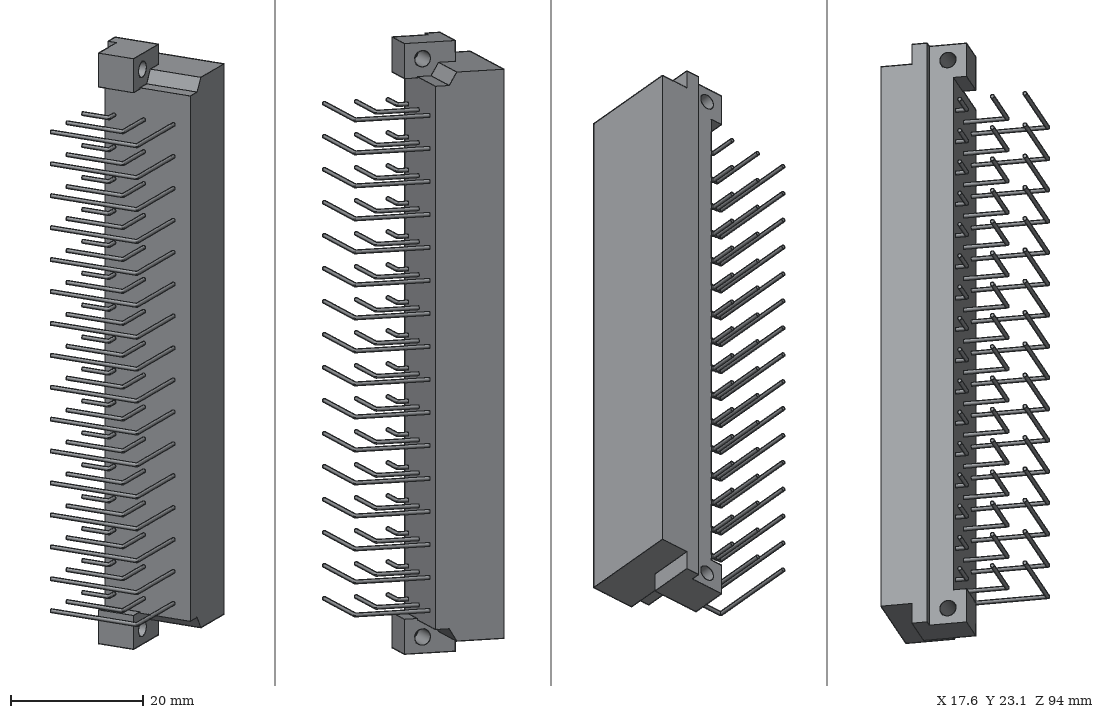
import cadquery as cq


housing_width = 16.1
housing_depth = 10.95
housing_height = 87.6
step_width = 1.45
step_depth = 7.2
bevel_start_depth = 7.55
bevel_end_depth = 8.75
bevel_drop = 2.0

overall_height = 94.0
ear_width = 7.45
ear_back_depth = 4.85
ear_front_depth = 13.0
ear_height = 5.4
hole_diameter = 2.5
hole_depth = 10.1
hole_spacing = 89.0

pin_diameter = 0.6
pin_pitch = 5.08
row_count = 16
column_count = 3
pin_overhang = 1.45
overall_depth = 23.1
row_center_z = -1.27
last_column_x = 13.2


def make_housing():
    """Beveled block with a shallower strip along its -X edge."""
    half_height = housing_height / 2
    shoulder_z = half_height - bevel_drop
    block = (
        cq.Workplane("YZ")
        .polyline([
            (0, -half_height),
            (-bevel_start_depth, -half_height),
            (-bevel_end_depth, -shoulder_z),
            (-housing_depth, -shoulder_z),
            (-housing_depth, shoulder_z),
            (-bevel_end_depth, shoulder_z),
            (-bevel_start_depth, half_height),
            (0, half_height),
        ])
        .close()
        .extrude(housing_width)
    )
    step_cut = (
        cq.Workplane("XY")
        .box(step_width, housing_depth - step_depth, housing_height, centered=(False, False, True))
        .translate((0, -housing_depth, 0))
    )
    return block.cut(step_cut)


def make_ear(end):
    """Stepped ear with a mounting hole along X; end is +1 for the top and -1 for the bottom."""
    ear = (
        cq.Workplane("XY")
        .polyline([
            (0, -ear_back_depth),
            (ear_width, -ear_back_depth),
            (ear_width, -ear_front_depth),
            (step_width, -ear_front_depth),
            (step_width, -step_depth),
            (0, -step_depth),
        ])
        .close()
        .extrude(ear_height / 2, both=True)
        .translate((0, 0, end * (overall_height - ear_height) / 2))
    )
    hole = (
        cq.Workplane("YZ")
        .center(-hole_depth, end * hole_spacing / 2)
        .circle(hole_diameter / 2)
        .extrude(ear_width)
    )
    return ear.cut(hole)


def make_pin(column):
    """Pin with a rounded right-angle corner, at Z = 0; column 0 is the longest."""
    leg_x = last_column_x - column * pin_pitch
    bend_y = -(overall_depth - pin_diameter / 2) + column * pin_pitch
    path = (
        cq.Workplane("XY")
        .moveTo(leg_x, -housing_depth)
        .lineTo(leg_x, bend_y)
        .lineTo(-pin_overhang, bend_y)
    )
    return (
        cq.Workplane("XZ", origin=(leg_x, -housing_depth, 0))
        .circle(pin_diameter / 2)
        .sweep(path, transition="round")
    )


result = make_housing()
for ear_end in (1, -1):
    result = result.union(make_ear(ear_end))

for column_index in range(column_count):
    pin = make_pin(column_index)
    for row_index in range(row_count):
        row_z = row_center_z + (row_index - (row_count - 1) / 2) * pin_pitch
        result = result.union(pin.translate((0, 0, row_z)))